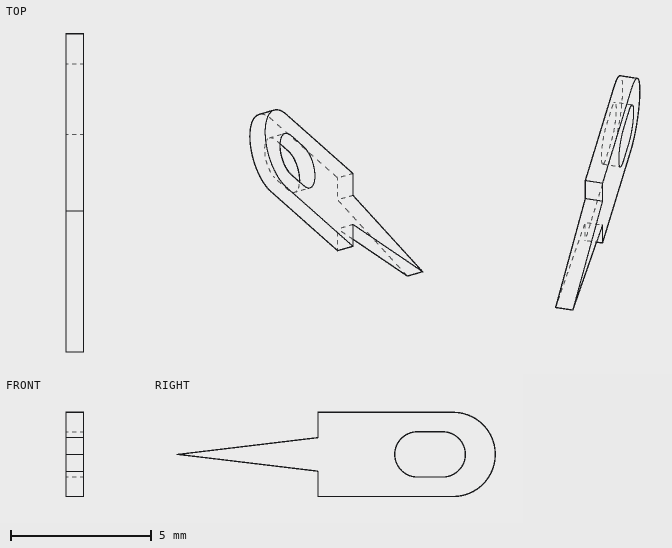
import cadquery as cq

thickness = 0.63
body_width = 3.0
body_length = 6.3
point_length = 5.0
point_base_width = 1.2
slot_length = 2.5
slot_width = 1.6
slot_end_gap = 1.07

half_width = body_width / 2
half_base = point_base_width / 2
arc_center_y = body_length - half_width
slot_center_y = body_length - slot_end_gap - slot_length / 2


def blade():
    """Flat plate with a rounded +Y end and a tapered point at the -Y end."""
    return (
        cq.Workplane("YZ")
        .moveTo(-point_length, 0)
        .lineTo(0, -half_base)
        .lineTo(0, -half_width)
        .lineTo(arc_center_y, -half_width)
        .threePointArc((body_length, 0), (arc_center_y, half_width))
        .lineTo(0, half_width)
        .lineTo(0, half_base)
        .close()
        .extrude(thickness / 2, both=True)
    )


def slot():
    """Round-ended slot through the full thickness, lengthwise along Y."""
    return (
        cq.Workplane("YZ")
        .center(slot_center_y, 0)
        .slot2D(slot_length, slot_width)
        .extrude(thickness, both=True)
    )


result = blade().cut(slot())